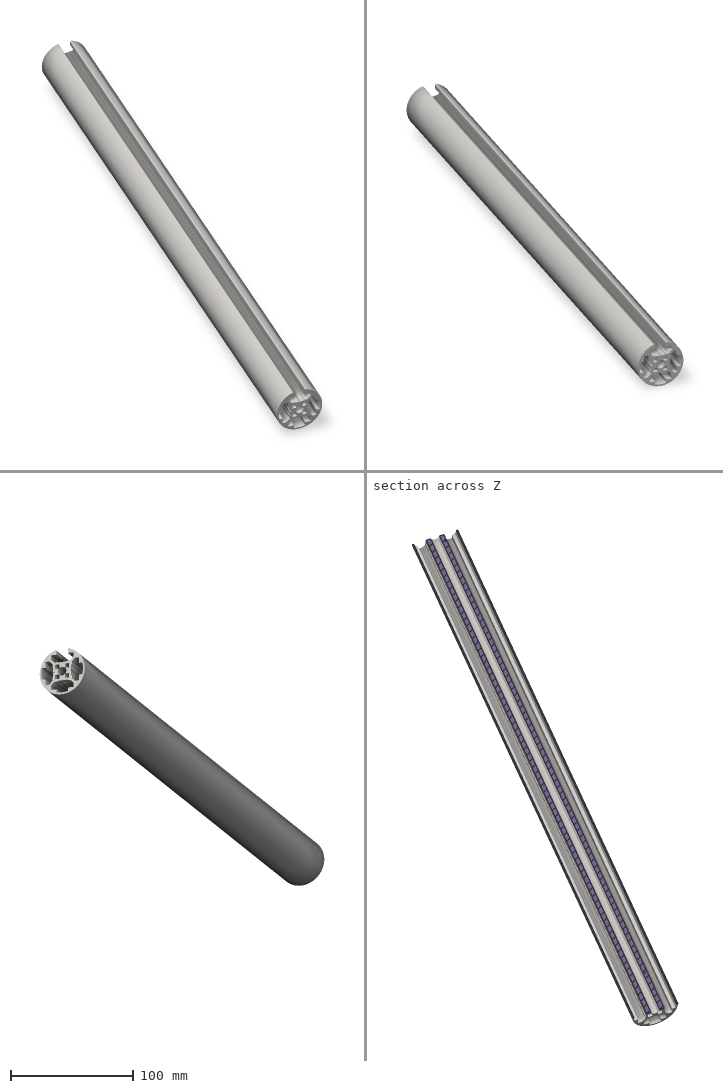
import cadquery as cq
import math

length = 500.0
outer_radius = 20.0

slot_half_width = 5.0
skin_thickness = 1.5
lip_round = 1.0
lip_underside = 15.0
cavity_half_width = 10.0

hub_half = 8.5
hub_wall = 2.25
bore_radius = 3.75
rib_half_width = 2.5

recess_half_width = 4.5
recess_depth = 0.5
groove_half_width = 0.5
groove_depth = 1.0

web_thickness = 2.0


def end_plane():
    """Workplane on the -X end: local x is Y, local y is Z."""
    return cq.Workplane("YZ").workplane(offset=-length / 2)


def turned(body, quarter_turns):
    return body.rotate((0, 0, 0), (1, 0, 0), 90 * quarter_turns)


def slot_cavity():
    """Wide chamber behind the lips; its lower corners follow the diagonal webs."""
    web_offset = web_thickness / math.sqrt(2)
    floor_half = hub_half - web_offset
    shoulder = cavity_half_width + web_offset
    outline = [
        (-floor_half, hub_half),
        (-cavity_half_width, shoulder),
        (-cavity_half_width, lip_underside),
        (cavity_half_width, lip_underside),
        (cavity_half_width, shoulder),
        (floor_half, hub_half),
    ]
    return end_plane().polyline(outline).close().extrude(length)


def floor_recess():
    """Shallow flat recess and V-groove cut into a slot floor."""
    floor = hub_half - recess_depth
    outline = [
        (-recess_half_width, hub_half),
        (-recess_half_width, floor),
        (-groove_half_width, floor),
        (0, floor - groove_depth),
        (groove_half_width, floor),
        (recess_half_width, floor),
        (recess_half_width, hub_half),
    ]
    return end_plane().polyline(outline).close().extrude(length)


def slot_neck():
    """Passage between the lips, stopping at the inside of the outer skin."""
    neck_height = outer_radius - lip_underside
    neck = (
        end_plane()
        .center(0, lip_underside + neck_height / 2)
        .rect(2 * slot_half_width, neck_height)
        .extrude(length)
    )
    skin_bore = end_plane().circle(outer_radius - skin_thickness).extrude(length)
    return neck.intersect(skin_bore)


def slot_opening():
    """Mouth of the open slot, with the outer lip edges rounded."""
    centre_y = slot_half_width + lip_round
    centre_reach = outer_radius - lip_round
    centre_z = math.sqrt(centre_reach**2 - centre_y**2)
    tangent_y = centre_y * outer_radius / centre_reach
    tangent_z = centre_z * outer_radius / centre_reach
    middle_angle = (math.pi + math.atan2(centre_z, centre_y)) / 2
    middle_y = centre_y + lip_round * math.cos(middle_angle)
    middle_z = centre_z + lip_round * math.sin(middle_angle)
    top = outer_radius + lip_round
    return (
        end_plane()
        .moveTo(-slot_half_width, lip_underside)
        .lineTo(slot_half_width, lip_underside)
        .lineTo(slot_half_width, centre_z)
        .threePointArc((middle_y, middle_z), (tangent_y, tangent_z))
        .lineTo(tangent_y, top)
        .lineTo(-tangent_y, top)
        .lineTo(-tangent_y, tangent_z)
        .threePointArc((-middle_y, middle_z), (-slot_half_width, centre_z))
        .close()
        .extrude(length)
    )


def hub_core():
    """Core bore opening into four corner pockets between the hub's inward ribs."""
    inner_half = hub_half - hub_wall
    pocket_size = inner_half - rib_half_width
    pocket_centre = (inner_half + rib_half_width) / 2
    core = end_plane().circle(bore_radius).extrude(length)
    pocket = end_plane().center(pocket_centre, pocket_centre).rect(pocket_size, pocket_size).extrude(length)
    for quarter_turns in range(4):
        core = core.union(turned(pocket, quarter_turns))
    return core


result = end_plane().circle(outer_radius).extrude(length)
for quarter_turns in range(4):
    result = result.cut(turned(slot_cavity(), quarter_turns))
    result = result.cut(turned(floor_recess(), quarter_turns))
    result = result.cut(turned(slot_neck(), quarter_turns))
result = result.cut(slot_opening())
result = result.cut(hub_core())